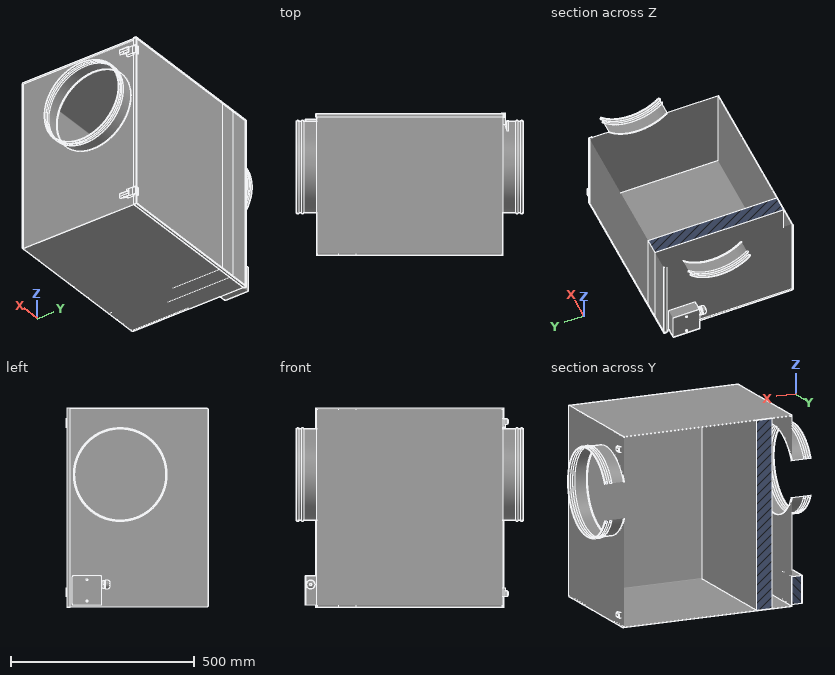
import cadquery as cq


overall_length = 620.0
overall_depth = 387.11
overall_height = 543.0
front_y = -overall_depth / 2
latch_back_y = overall_depth / 2

sheet = 1.0
hook_thickness = 2.11
door_back_y = latch_back_y - hook_thickness
door_inner_y = door_back_y - sheet
door_width = 512.0
door_flange = 9.0
door_bend_radius = 0.9
casing_width = 507.0
casing_height = overall_height - 2 * sheet
casing_bend_radius = 5.0
casing_wall = 3.0
casing_side_x = casing_width / 2

duct_y = 46.3
duct_z = 90.0
spigot_radius = 125.0
spigot_wall = 1.0
bead_height = 2.7
bead_half_width = 3.3
bead_distances = (5.5, 18.5)

filter_face_x = -194.0
filter_thickness = 48.0

box_size = 80.0
box_depth = 32.0
box_y = 136.8
box_z = -225.0
box_corner_radius = 3.0
lid_edge_radius = 2.8
lid_thickness = 3.0
box_outer_x = -casing_side_x - box_depth
lid_hole_diameter = 5.0
lid_hole_depth = 2.0
lid_hole_offset = 29.0

gland_x = -casing_side_x - box_depth / 2
gland_z = -209.0
gland_seat_radius = 9.0
gland_seat_length = 3.0
gland_hex_diameter = 25.0
gland_hex_length = 5.0
gland_neck_radius = 9.0
gland_neck_length = 3.0
gland_cap_radius = 12.0
gland_cap_length = 11.5
gland_cap_rounding = 7.0
cable_hole_diameter = 6.0
cable_hole_depth = 10.0

latch_z = 230.0
latch_height = 24.0
latch_body_front_y = 162.0
latch_body_back_y = 182.0
latch_body_thickness = 7.5
hook_reach = 12.0
handle_height = 16.0
handle_offset_z = 4.0
handle_inner_x = 264.0
handle_outer_x = 268.5
handle_front_y = 144.0
handle_back_y = 173.0
arm_front_setback = 2.0
handle_end_chamfer = 3.8
arm_root_back_y = 170.0
arm_tip_back_y = 155.0


def block(x_range, y_range, z_range):
    """Rectangular block between the given limits on each axis."""
    sizes = [high - low for low, high in (x_range, y_range, z_range)]
    return cq.Workplane("XY").box(*sizes, centered=False).translate((x_range[0], y_range[0], z_range[0]))


def span(center, size):
    """Limits of a length placed evenly about a centre."""
    return (center - size / 2, center + size / 2)


def make_casing():
    """Sheet box, open at the rear, bent along its front edges and pierced for both spigots."""
    outer = block(span(0, casing_width), (front_y, door_inner_y), span(0, casing_height))
    outer = outer.faces("<Y").edges("|X").fillet(casing_bend_radius)
    cavity = block(
        span(0, casing_width - 2 * casing_wall),
        (front_y + casing_wall, door_inner_y),
        span(0, casing_height - 2 * casing_wall),
    )
    cavity = cavity.faces("<Y").edges("|X").fillet(casing_bend_radius - casing_wall)
    duct_hole = (
        cq.Workplane("YZ", origin=(-casing_side_x, duct_y, duct_z))
        .circle(spigot_radius)
        .extrude(casing_width)
    )
    return outer.cut(cavity).cut(duct_hole)


def make_door():
    """Shallow pan that closes the rear and laps over the casing's edges."""
    pan = block(
        span(0, door_width), (door_back_y - door_flange, door_back_y), span(0, overall_height)
    )
    pan = pan.faces(">Y").edges().fillet(door_bend_radius)
    inside = block(
        span(0, door_width - 2 * sheet),
        (door_back_y - door_flange, door_inner_y),
        span(0, casing_height),
    )
    return pan.cut(inside)


def make_spigot(side):
    """Beaded tube from the casing wall outwards; side is -1 or 1 along X."""
    end_x = overall_length / 2
    wall_x = casing_side_x - casing_wall
    bore_radius = spigot_radius - spigot_wall
    profile = cq.Workplane("XY").moveTo(side * wall_x, bore_radius).lineTo(side * end_x, bore_radius)
    profile = profile.lineTo(side * end_x, spigot_radius)
    for distance in bead_distances:
        bead_x = end_x - distance
        profile = profile.lineTo(side * (bead_x + bead_half_width), spigot_radius).threePointArc(
            (side * bead_x, spigot_radius + bead_height),
            (side * (bead_x - bead_half_width), spigot_radius),
        )
    profile = profile.lineTo(side * wall_x, spigot_radius).close()
    tube = profile.revolve(360, (0, 0, 0), (1, 0, 0))
    return tube.translate((0, duct_y, duct_z))


def make_filter():
    """Flat filter panel that fills the casing's section."""
    panel = block(
        (filter_face_x, filter_face_x + filter_thickness),
        (front_y + casing_wall, door_inner_y),
        span(0, casing_height - 2 * casing_wall),
    )
    return panel.faces("<Y").edges("|X").fillet(casing_bend_radius - casing_wall)


def make_wiring_box_and_lid():
    """Rounded box split into its base and a lid with two blind screw holes."""
    whole = block((box_outer_x, -casing_side_x), span(box_y, box_size), span(box_z, box_size))
    whole = whole.edges("|X").fillet(box_corner_radius)
    whole = whole.faces("<X").edges().fillet(lid_edge_radius)
    lid_space = block(
        (box_outer_x, box_outer_x + lid_thickness), span(box_y, box_size), span(box_z, box_size)
    )
    screw_holes = (
        cq.Workplane("YZ", origin=(box_outer_x, box_y, box_z))
        .pushPoints([(0, -lid_hole_offset), (0, lid_hole_offset)])
        .circle(lid_hole_diameter / 2)
        .extrude(lid_hole_depth)
    )
    return whole.cut(lid_space), whole.intersect(lid_space).cut(screw_holes)


def make_gland():
    """Cable gland on the box's front face: seat, hexagon, neck and rounded cap."""
    box_front_y = box_y - box_size / 2
    gland = (
        cq.Workplane("XZ", origin=(gland_x, box_front_y, gland_z))
        .circle(gland_seat_radius)
        .extrude(gland_seat_length)
        .faces("<Y")
        .workplane()
        .polygon(6, gland_hex_diameter)
        .extrude(gland_hex_length)
        .faces("<Y")
        .workplane()
        .circle(gland_neck_radius)
        .extrude(gland_neck_length)
        .faces("<Y")
        .workplane()
        .circle(gland_cap_radius)
        .extrude(gland_cap_length)
    )
    gland = gland.faces("<Y").edges().fillet(gland_cap_rounding)
    return gland.faces("<Y").workplane().hole(cable_hole_diameter, cable_hole_depth)


def make_latch(side):
    """Latch on the casing's +X wall, hooked over the door; side is -1 (low) or 1 (high)."""
    body_outer_x = casing_side_x + latch_body_thickness
    z_range = span(latch_z, latch_height)
    body = block(
        (casing_side_x, body_outer_x), (latch_body_front_y, latch_body_back_y), z_range
    )
    hook_side = block(
        (body_outer_x - hook_thickness, body_outer_x), (latch_body_back_y, latch_back_y), z_range
    )
    hook_back = block((body_outer_x - hook_reach, body_outer_x), (door_back_y, latch_back_y), z_range)

    handle_z_range = span(latch_z + handle_offset_z, handle_height)
    handle = block((handle_inner_x, handle_outer_x), (handle_front_y, handle_back_y), handle_z_range)
    handle = handle.faces(">X").edges("|Y").chamfer(handle_end_chamfer)
    arm = (
        cq.Workplane("XY")
        .polyline(
            [
                (body_outer_x - hook_thickness, latch_body_front_y),
                (body_outer_x - hook_thickness, arm_root_back_y),
                (body_outer_x, arm_root_back_y),
                (handle_inner_x, arm_tip_back_y),
                (handle_inner_x, handle_front_y + arm_front_setback),
            ]
        )
        .close()
        .extrude(handle_height)
        .translate((0, 0, handle_z_range[0]))
    )
    latch = body.union(hook_side).union(hook_back).union(handle).union(arm)
    if side < 0:
        latch = latch.mirror("XY")
    return latch


casing = make_casing()
door = make_door()
spigots = [make_spigot(side) for side in (-1, 1)]
filter_panel = make_filter()
wiring_box, wiring_box_lid = make_wiring_box_and_lid()
gland = make_gland()
latches = [make_latch(side) for side in (-1, 1)]

bodies = [casing, door, *spigots, filter_panel, wiring_box, wiring_box_lid, gland, *latches]
result = cq.Compound.makeCompound([body.solids().val() for body in bodies])